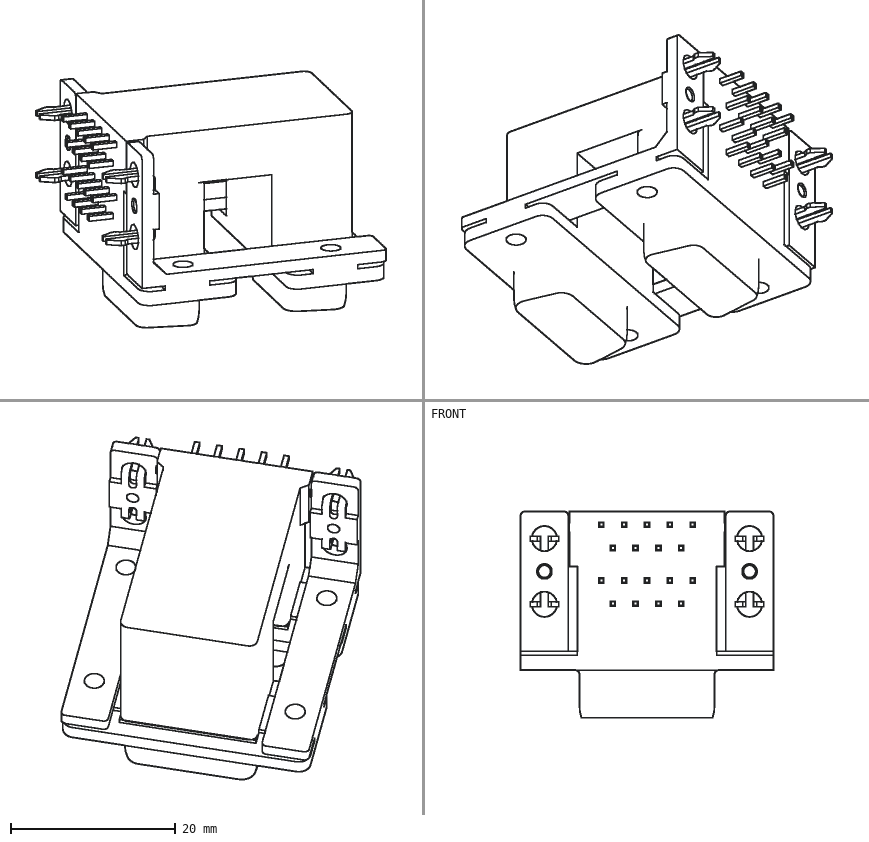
import cadquery as cq
import math

WIDTH = 30.8
HEIGHT = 25.15
REAR_Y = 17.68
CLIP_TIP_Y = -17.68
FRONT_Y = -13.85

FLANGE_DEPTH = 12.5
FLANGE_BOTTOM = 5.8
FLANGE_TOP = 7.6
FLANGE_CORNER = 1.5
REAR_CONNECTOR_Y = REAR_Y - FLANGE_DEPTH / 2
FRONT_CONNECTOR_Y = FRONT_Y + FLANGE_DEPTH / 2
CONNECTORS_Y = (REAR_CONNECTOR_Y, FRONT_CONNECTOR_Y)

SHELL_HALF_WIDTH = 8.25
SHELL_DEPTH = 8.02
SHELL_SIDE_ANGLE = math.radians(10)
SHELL_TAPER_HEIGHT = 1.5
SHELL_TAPER_INSET = 0.25
SHELL_ROOT_FILLET = 0.5
REAR_SHELL_CORNER = 1.98
FRONT_SHELL_CORNER = 1.63

BRACKET_WIDTH = 5.85
BRACKET_THICKNESS = 1.5
BRACKET_BOTTOM = 8.13
BRACKET_CORNER = 0.55
BRACKET_GUSSET = 1.65
BRACKET_INNER_X = WIDTH / 2 - BRACKET_WIDTH
BRACKET_X = WIDTH / 2 - BRACKET_WIDTH / 2
PLATE_BACK_Y = FRONT_Y + BRACKET_THICKNESS
FOOT_HOLE_DIAMETER = 2.4

PEDESTAL_LENGTH = 5.73
PEDESTAL_SHIFT_Y = -0.4

BODY_HALF_WIDTH = 8.5
BODY_REAR_OFFSET = 4.4
BODY_CORNER = 1.0
BODY_REAR_Y = REAR_CONNECTOR_Y + BODY_REAR_OFFSET
FRONT_LEG_REAR_Y = FRONT_CONNECTOR_Y + BODY_REAR_OFFSET
REAR_LEG_FRONT_Y = REAR_Y - FLANGE_DEPTH
BRIDGE_BOTTOM = 18.4
NECK_SETBACK = 0.1
HEAD_HALF_WIDTH = 9.45
HEAD_DEPTH = 2.25
HEAD_SLOPE_DEPTH = 0.75

RIB_HALF_SPAN = 9.65
RIB_DEPTH = 0.2
RIB_HEIGHT = 1.13
RIB_CENTRE_Y = -12.05
RIB_CENTRE_Z = 23.15

CLIP_CENTRE_Z = 17.8
CLIP_SPACING = 8.0
CLIP_THICKNESS = 0.6
CLIP_HOLE_DIAMETER = 3.05
CLIP_BASE_HEIGHT = 4.55
CLIP_BASE_DEPTH = 0.7
CLIP_INNER_BEND = 0.42
CLIP_INNER_X = 0.45
CLIP_OUTER_X = 1.45
CLIP_BARB_X = 1.73
CLIP_TIP_X = 0.85
CLIP_NECK_Y = -15.2
CLIP_BARB_START_Y = -15.62
CLIP_BARB_END_Y = -16.15
SCREW_HOLE_DIAMETER = 1.5
SCREW_HOLE_CHAMFER = 0.18

PIN_WIDTH = 0.65
PIN_TIP_Y = -17.0
PIN_TIP_CHAMFER = 0.1
PIN_ROW_SPACING = 2.83
LONG_ROWS_Z = (23.5, 16.72)
LONG_ROW_PINS = 5
LONG_ROW_SPAN = 11.1
PIN_PITCH = LONG_ROW_SPAN / (LONG_ROW_PINS - 1)


def box(x0, x1, y0, y1, z0, z1):
    """Axis-aligned block between two opposite corners."""
    return cq.Workplane("XY").box(x1 - x0, y1 - y0, z1 - z0, centered=False).translate((x0, y0, z0))


def both_sides(half):
    """A shape on the +X side together with its mirror image on the -X side."""
    return half.union(half.mirror("YZ"))


def flange(centre_y):
    return (
        cq.Workplane("XY", origin=(0, centre_y, FLANGE_BOTTOM))
        .rect(WIDTH, FLANGE_DEPTH)
        .extrude(FLANGE_TOP - FLANGE_BOTTOM)
        .edges("|Z")
        .fillet(FLANGE_CORNER)
    )


def shell_outline(corner, z, inset=0.0):
    """Closed D outline at height z, wide side towards +Y, with all four corners rounded.

    The inset moves the whole outline inwards and keeps the corner centres in place.
    """
    half_depth = SHELL_DEPTH / 2 - inset
    wide_x = SHELL_HALF_WIDTH - corner
    narrow_x = wide_x - (SHELL_DEPTH - 2 * corner) * math.tan(SHELL_SIDE_ANGLE)
    wide_y = SHELL_DEPTH / 2 - corner
    radius = corner - inset

    def on_corner(centre_x, centre_y, angle):
        return centre_x + radius * math.cos(angle), centre_y + radius * math.sin(angle)

    wide_mid = on_corner(wide_x, wide_y, (math.pi / 2 - SHELL_SIDE_ANGLE) / 2)
    wide_end = on_corner(wide_x, wide_y, -SHELL_SIDE_ANGLE)
    narrow_start = on_corner(narrow_x, -wide_y, -SHELL_SIDE_ANGLE)
    narrow_mid = on_corner(narrow_x, -wide_y, -(math.pi / 2 + SHELL_SIDE_ANGLE) / 2)

    def mirrored(point):
        return -point[0], point[1]

    return (
        cq.Workplane("XY", origin=(0, 0, z))
        .moveTo(-wide_x, half_depth)
        .lineTo(wide_x, half_depth)
        .threePointArc(wide_mid, wide_end)
        .lineTo(*narrow_start)
        .threePointArc(narrow_mid, (narrow_x, -half_depth))
        .lineTo(-narrow_x, -half_depth)
        .threePointArc(mirrored(narrow_mid), mirrored(narrow_start))
        .lineTo(*mirrored(wide_end))
        .threePointArc(mirrored(wide_mid), (-wide_x, half_depth))
        .close()
    )


def shell_tip(corner):
    """Rounded tip: its sides curve inwards along a circular arc, tangent to the straight shell."""
    arc_radius = (SHELL_TAPER_HEIGHT**2 + SHELL_TAPER_INSET**2) / (2 * SHELL_TAPER_INSET)
    sections = []
    for drop in (0.0, SHELL_TAPER_HEIGHT / 2, SHELL_TAPER_HEIGHT):
        inset = arc_radius - math.sqrt(arc_radius**2 - drop**2)
        outline = shell_outline(corner, SHELL_TAPER_HEIGHT - drop, inset)
        sections.append(outline.val())
    return cq.Workplane(obj=cq.Solid.makeLoft(sections))


def connector(centre_y, shell_corner):
    """Flange with its D shell, filleted at the root and rounded inwards at the tip."""
    tip = shell_tip(shell_corner).translate((0, centre_y, 0))
    straight = (
        shell_outline(shell_corner, SHELL_TAPER_HEIGHT)
        .extrude(FLANGE_BOTTOM - SHELL_TAPER_HEIGHT)
        .translate((0, centre_y, 0))
    )
    inner_x = SHELL_HALF_WIDTH + SHELL_ROOT_FILLET
    inner_y = SHELL_DEPTH / 2 + SHELL_ROOT_FILLET
    root_edges = cq.selectors.BoxSelector(
        (-inner_x, centre_y - inner_y, FLANGE_BOTTOM - SHELL_ROOT_FILLET),
        (inner_x, centre_y + inner_y, FLANGE_BOTTOM + SHELL_ROOT_FILLET),
    )
    joined = flange(centre_y).union(straight)
    return joined.edges(root_edges).fillet(SHELL_ROOT_FILLET).union(tip)


def pedestal(centre_y):
    """Full-width block on a flange; its two ends carry the bracket feet."""
    middle_y = centre_y + PEDESTAL_SHIFT_Y
    return box(
        -WIDTH / 2, WIDTH / 2,
        middle_y - PEDESTAL_LENGTH / 2, middle_y + PEDESTAL_LENGTH / 2,
        FLANGE_TOP, BRACKET_BOTTOM,
    )


def leg(front_y, rear_y):
    """Housing leg from its flange to the top, on a square-cornered neck."""
    neck = box(
        -BODY_HALF_WIDTH, BODY_HALF_WIDTH,
        front_y, rear_y - NECK_SETBACK,
        FLANGE_TOP, BRACKET_BOTTOM,
    )
    column = box(
        -BODY_HALF_WIDTH, BODY_HALF_WIDTH,
        front_y, rear_y,
        BRACKET_BOTTOM, HEIGHT,
    )
    return neck.union(column.edges("|Z and >Y").fillet(BODY_CORNER))


def bridge():
    """Upper part of the housing that joins the two legs."""
    return box(
        -BODY_HALF_WIDTH, BODY_HALF_WIDTH,
        FRONT_Y, BODY_REAR_Y - BODY_CORNER,
        BRIDGE_BOTTOM, HEIGHT,
    )


def head():
    """Wider front end of the bridge, with sloped shoulders at its rear."""
    shoulder_y = FRONT_Y + HEAD_DEPTH
    rear_y = shoulder_y + HEAD_SLOPE_DEPTH
    return (
        cq.Workplane("XY", origin=(0, 0, BRIDGE_BOTTOM))
        .polyline([
            (-HEAD_HALF_WIDTH, FRONT_Y),
            (HEAD_HALF_WIDTH, FRONT_Y),
            (HEAD_HALF_WIDTH, shoulder_y),
            (BODY_HALF_WIDTH, rear_y),
            (-BODY_HALF_WIDTH, rear_y),
            (-HEAD_HALF_WIDTH, shoulder_y),
        ])
        .close()
        .extrude(HEIGHT - BRIDGE_BOTTOM)
    )


def head_ribs():
    """One short rib standing out on each side of the head."""
    return box(
        -RIB_HALF_SPAN, RIB_HALF_SPAN,
        RIB_CENTRE_Y - RIB_DEPTH / 2, RIB_CENTRE_Y + RIB_DEPTH / 2,
        RIB_CENTRE_Z - RIB_HEIGHT / 2, RIB_CENTRE_Z + RIB_HEIGHT / 2,
    )


def bracket():
    """L bracket on the +X side: foot, gusset and upright plate."""
    foot_top = BRACKET_BOTTOM + BRACKET_THICKNESS
    profile = [
        (REAR_Y, BRACKET_BOTTOM),
        (REAR_Y, foot_top),
        (PLATE_BACK_Y + BRACKET_GUSSET, foot_top),
        (PLATE_BACK_Y, foot_top + BRACKET_GUSSET),
        (PLATE_BACK_Y, HEIGHT),
        (FRONT_Y, HEIGHT),
        (FRONT_Y, BRACKET_BOTTOM),
    ]
    return (
        cq.Workplane("YZ", origin=(BRACKET_INNER_X, 0, 0))
        .polyline(profile)
        .close()
        .extrude(BRACKET_WIDTH)
        .edges("(|Z and >Y) or (|Y and >Z)")
        .fillet(BRACKET_CORNER)
    )


def clip_base():
    """Full-width block on the back of the plate, with a round notch below each prong gap."""
    block = box(
        BRACKET_INNER_X, WIDTH / 2,
        PLATE_BACK_Y, PLATE_BACK_Y + CLIP_BASE_DEPTH,
        CLIP_CENTRE_Z - CLIP_BASE_HEIGHT / 2, CLIP_CENTRE_Z + CLIP_BASE_HEIGHT / 2,
    )
    notches = (
        cq.Workplane("XZ", origin=(BRACKET_X, PLATE_BACK_Y, CLIP_CENTRE_Z))
        .rarray(CLIP_BASE_HEIGHT, CLIP_BASE_HEIGHT, 1, 2)
        .circle(CLIP_INNER_X)
        .extrude(-CLIP_BASE_DEPTH)
    )
    return block.cut(notches)


def clip_prong():
    """Upper right prong: rises from the clip base, bends and runs forward to a barb."""
    prong_top = CLIP_CENTRE_Z + (CLIP_SPACING + CLIP_THICKNESS) / 2
    prong_bottom = prong_top - CLIP_THICKNESS
    base_top = CLIP_CENTRE_Z + CLIP_BASE_HEIGHT / 2
    back_y = PLATE_BACK_Y + CLIP_BASE_DEPTH
    side = (
        cq.Workplane("YZ")
        .moveTo(CLIP_TIP_Y, prong_top)
        .lineTo(PLATE_BACK_Y, prong_top)
        .radiusArc((back_y, prong_top - CLIP_BASE_DEPTH), CLIP_BASE_DEPTH)
        .lineTo(back_y, base_top)
        .lineTo(PLATE_BACK_Y, base_top)
        .lineTo(PLATE_BACK_Y, prong_bottom - CLIP_INNER_BEND)
        .radiusArc((PLATE_BACK_Y - CLIP_INNER_BEND, prong_bottom), -CLIP_INNER_BEND)
        .lineTo(CLIP_TIP_Y, prong_bottom)
        .close()
        .extrude(CLIP_BARB_X)
    )
    plan = (
        cq.Workplane("XY", origin=(0, 0, base_top))
        .polyline([
            (CLIP_INNER_X, back_y),
            (CLIP_OUTER_X, back_y),
            (CLIP_OUTER_X, CLIP_NECK_Y),
            (CLIP_BARB_X, CLIP_BARB_START_Y),
            (CLIP_BARB_X, CLIP_BARB_END_Y),
            (CLIP_TIP_X, CLIP_TIP_Y),
            (CLIP_INNER_X, CLIP_TIP_Y),
        ])
        .close()
        .extrude(prong_top - base_top)
    )
    return side.intersect(plan)


def clip():
    """Four barbed prongs, mirrored left-right and up-down about the clip centre."""
    pair = both_sides(clip_prong())
    lower = pair.mirror("XY", (0, 0, CLIP_CENTRE_Z))
    return pair.union(lower).translate((BRACKET_X, 0, 0))


def plate_hole(z, diameter, depth):
    """Cutter along +Y through the upright plate, starting at its front face."""
    return (
        cq.Workplane("XZ", origin=(BRACKET_X, FRONT_Y, z))
        .circle(diameter / 2)
        .extrude(-depth)
    )


def screw_hole():
    """Hole through plate and clip base, with a countersunk front rim."""
    rim = (
        cq.Workplane("XZ", origin=(BRACKET_X, FRONT_Y, CLIP_CENTRE_Z))
        .circle(SCREW_HOLE_DIAMETER / 2 + SCREW_HOLE_CHAMFER)
        .workplane(offset=-SCREW_HOLE_CHAMFER)
        .circle(SCREW_HOLE_DIAMETER / 2)
        .loft()
    )
    depth = BRACKET_THICKNESS + CLIP_BASE_DEPTH
    return rim.union(plate_hole(CLIP_CENTRE_Z, SCREW_HOLE_DIAMETER, depth))


def bracket_assembly():
    """Drilled bracket with its clip, on the +X side."""
    plate = bracket()
    for z in (CLIP_CENTRE_Z - CLIP_SPACING / 2, CLIP_CENTRE_Z + CLIP_SPACING / 2):
        plate = plate.cut(plate_hole(z, CLIP_HOLE_DIAMETER, BRACKET_THICKNESS))
    return plate.union(clip_base()).cut(screw_hole()).union(clip())


def foot_holes():
    """Vertical holes through feet, pedestals and flanges."""
    points = [(side * BRACKET_X, y) for side in (-1, 1) for y in CONNECTORS_Y]
    return (
        cq.Workplane("XY", origin=(0, 0, FLANGE_BOTTOM))
        .pushPoints(points)
        .circle(FOOT_HOLE_DIAMETER / 2)
        .extrude(BRACKET_BOTTOM + BRACKET_THICKNESS - FLANGE_BOTTOM)
    )


def pin_row(count, z):
    """Row of square pins on the front face, with bevelled tips."""
    return (
        cq.Workplane("XZ", origin=(0, FRONT_Y, z))
        .rarray(PIN_PITCH, PIN_PITCH, count, 1)
        .rect(PIN_WIDTH, PIN_WIDTH)
        .extrude(FRONT_Y - PIN_TIP_Y)
        .faces("<Y")
        .chamfer(PIN_TIP_CHAMFER)
    )


result = connector(REAR_CONNECTOR_Y, REAR_SHELL_CORNER)
result = result.union(connector(FRONT_CONNECTOR_Y, FRONT_SHELL_CORNER))
for connector_y in CONNECTORS_Y:
    result = result.union(pedestal(connector_y))
result = result.union(leg(REAR_LEG_FRONT_Y, BODY_REAR_Y))
result = result.union(leg(FRONT_Y, FRONT_LEG_REAR_Y))
result = result.union(bridge()).union(head()).union(head_ribs())
result = result.union(both_sides(bracket_assembly()))
result = result.cut(foot_holes())
for row_z in LONG_ROWS_Z:
    result = result.union(pin_row(LONG_ROW_PINS, row_z))
    result = result.union(pin_row(LONG_ROW_PINS - 1, row_z - PIN_ROW_SPACING))